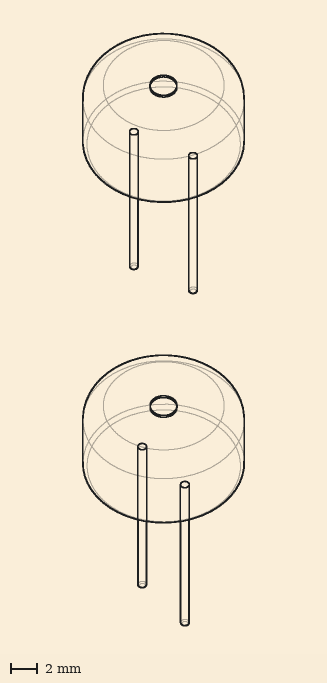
import cadquery as cq

total_height = 21.53
body_diameter = 12.0
body_height = 6.5
pin_length = total_height - body_height

top_round = 1.5
bottom_round = 0.3

recess_diameter = 2.0
recess_depth = 0.2

pin_diameter = 0.65
pin_spacing = 5.0
pin_tip_round = 0.1


def make_body():
    """Cylindrical case standing on Z = 0, with both rims rounded and a recess on top."""
    case = cq.Workplane("XY").circle(body_diameter / 2).extrude(body_height)
    case = case.faces(">Z").edges().fillet(top_round)
    case = case.faces("<Z").edges().fillet(bottom_round)
    return case.faces(">Z").workplane().circle(recess_diameter / 2).cutBlind(-recess_depth)


def make_pin(x):
    """Straight pin hanging below the case, with a rounded tip edge."""
    pin = cq.Workplane("XY").center(x, 0).circle(pin_diameter / 2).extrude(-pin_length)
    return pin.faces("<Z").edges().fillet(pin_tip_round)


result = make_body()
for side in (-1, 1):
    result = result.union(make_pin(side * pin_spacing / 2))